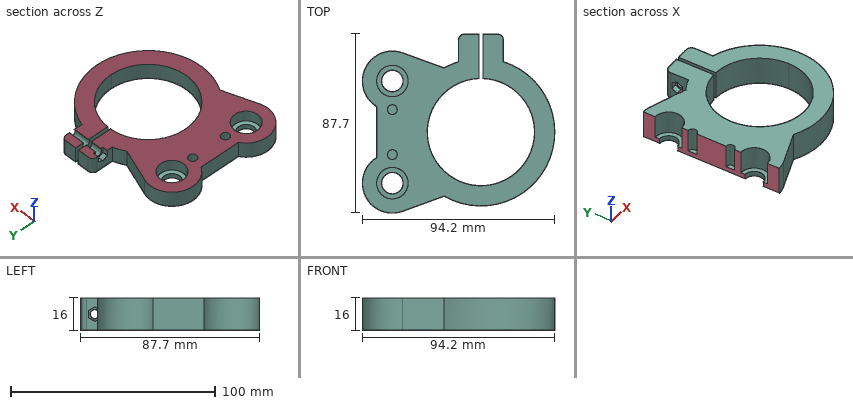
import cadquery as cq
import math

THICKNESS = 16.0

BORE_RADIUS = 26.2
RING_WALL = 10.0
RING_RADIUS = BORE_RADIUS + RING_WALL

EARS_WIDTH = 22.0
EARS_END_Y = 48.0
EAR_CORNER_RADIUS = 3.0
GAP_WIDTH = 1.8

SCREW_DIAMETER = 4.4
SCREW_FROM_EARS_END = 7.0
NUT_ACROSS_CORNERS = 7.0
NUT_POCKET_DEPTH = 3.2

LUG_X = -43.35
LUG_Y = 25.0
SEAT_DIAMETER = 15.4
LUG_WALL = 7.0
LUG_RADIUS = SEAT_DIAMETER / 2 + LUG_WALL
LUG_HOLE_DIAMETER = 10.4
FLANK_ANGLE = math.radians(20.0)
PLATE_EDGE_X = LUG_X - SEAT_DIAMETER / 2

PIN_HOLE_DIAMETER = 4.8
PIN_HOLE_Y = 11.0

FLOOR_THICKNESS = 3.0
POCKET_DEPTH = THICKNESS - FLOOR_THICKNESS


def make_plate():
    """Web joining the lugs to the ring, with flanks tangent to the lugs."""
    tangent_x = LUG_X + LUG_RADIUS * math.sin(FLANK_ANGLE)
    tangent_y = LUG_Y + LUG_RADIUS * math.cos(FLANK_ANGLE)
    flank_end_y = tangent_y + tangent_x * math.tan(FLANK_ANGLE)
    outline = [
        (PLATE_EDGE_X, -LUG_Y),
        (LUG_X, -LUG_Y),
        (tangent_x, -tangent_y),
        (0, -flank_end_y),
        (0, flank_end_y),
        (tangent_x, tangent_y),
        (LUG_X, LUG_Y),
        (PLATE_EDGE_X, LUG_Y),
    ]
    return cq.Workplane("XY").polyline(outline).close().extrude(THICKNESS)


def make_lugs():
    centers = [(LUG_X, -LUG_Y), (LUG_X, LUG_Y)]
    return cq.Workplane("XY").pushPoints(centers).circle(LUG_RADIUS).extrude(THICKNESS)


def make_ears():
    """Block carrying both ears, with its two outer corners rounded."""
    block = (
        cq.Workplane("XY")
        .center(0, EARS_END_Y / 2)
        .rect(EARS_WIDTH, EARS_END_Y)
        .extrude(THICKNESS)
    )
    return block.faces(">Y").edges("|Z").fillet(EAR_CORNER_RADIUS)


def cut_bore_and_gap(body):
    bore = cq.Workplane("XY").circle(BORE_RADIUS).extrude(THICKNESS)
    gap = (
        cq.Workplane("XY")
        .center(0, EARS_END_Y / 2)
        .rect(GAP_WIDTH, EARS_END_Y)
        .extrude(THICKNESS)
    )
    return body.cut(bore).cut(gap)


def cut_clamp_screw(body):
    """Screw hole through both ears and a hexagonal nut pocket in the -X ear."""
    ear_face = cq.Workplane(
        cq.Plane(
            origin=(-EARS_WIDTH / 2, EARS_END_Y - SCREW_FROM_EARS_END, THICKNESS / 2),
            xDir=(0, 0, 1),
            normal=(1, 0, 0),
        )
    )
    screw_hole = ear_face.circle(SCREW_DIAMETER / 2).extrude(EARS_WIDTH)
    nut_pocket = ear_face.polygon(6, NUT_ACROSS_CORNERS).extrude(NUT_POCKET_DEPTH)
    return body.cut(screw_hole).cut(nut_pocket)


def cut_lug_holes(body):
    """Counterbored through holes in the lugs and blind holes between them."""
    top = cq.Workplane("XY").workplane(offset=THICKNESS)
    for side in (-1, 1):
        lug_hole = top.center(LUG_X, side * LUG_Y).circle(LUG_HOLE_DIAMETER / 2).extrude(-THICKNESS)
        seat = top.center(LUG_X, side * LUG_Y).circle(SEAT_DIAMETER / 2).extrude(-POCKET_DEPTH)
        pin_hole = top.center(LUG_X, side * PIN_HOLE_Y).circle(PIN_HOLE_DIAMETER / 2).extrude(-POCKET_DEPTH)
        body = body.cut(lug_hole).cut(seat).cut(pin_hole)
    return body


ring = cq.Workplane("XY").circle(RING_RADIUS).extrude(THICKNESS)
body = ring.union(make_plate()).union(make_lugs()).union(make_ears())
body = cut_bore_and_gap(body)
body = cut_clamp_screw(body)
result = cut_lug_holes(body)